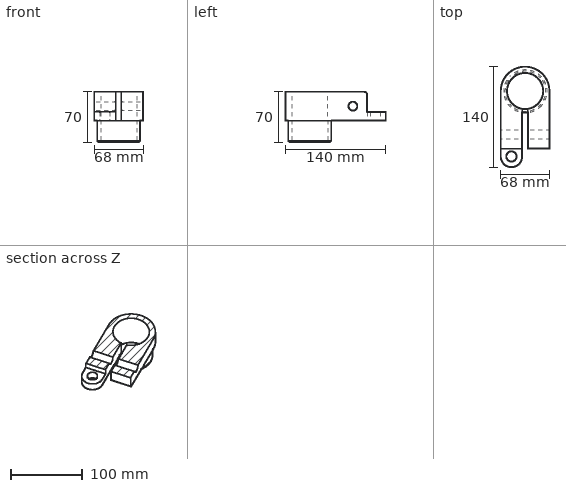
import cadquery as cq

body_width = 68.0
body_height = 40.0
total_length = 140.0
total_height = 70.0
bore_diameter = 50.0
boss_diameter = 60.0
boss_chamfer = 2.0
slot_width = 8.0
jaw_reach = 80.0
jaw_fillet = 4.0
lug_thickness = 12.0
lug_hole_diameter = 14.0
bolt_hole_diameter = 12.0
bolt_reach = 60.0

body_radius = body_width / 2
boss_height = total_height - body_height
lug_width = (body_width - slot_width) / 2
lug_radius = lug_width / 2
lug_x = -(slot_width + lug_width) / 2
lug_y = -(total_length - body_radius - lug_radius)


def jaw(x_start, rounded_edges):
    """Block on one side of the slot, with its chosen front edges rounded."""
    block = cq.Workplane("XY").box(lug_width, jaw_reach, body_height, centered=False)
    block = block.translate((x_start, -jaw_reach, 0))
    return block.faces("<Y").edges(rounded_edges).fillet(jaw_fillet)


def round_end():
    """Half-round back of the clamp, with the slot running in to the bore."""
    disc = cq.Workplane("XY").circle(body_radius).extrude(body_height)
    slot = (
        cq.Workplane("XY")
        .center(0, -jaw_reach / 2)
        .rect(slot_width, jaw_reach)
        .extrude(body_height)
    )
    return disc.cut(slot)


def lug():
    """Round-ended tab continuing the left jaw, flush with its underside."""
    return (
        cq.Workplane("XY")
        .moveTo(lug_x - lug_radius, -jaw_reach / 2)
        .lineTo(lug_x - lug_radius, lug_y)
        .threePointArc((lug_x, lug_y - lug_radius), (lug_x + lug_radius, lug_y))
        .lineTo(lug_x + lug_radius, -jaw_reach / 2)
        .close()
        .extrude(lug_thickness)
    )


def boss():
    """Cylindrical sleeve below the body, chamfered at its lower end."""
    sleeve = cq.Workplane("XY").circle(boss_diameter / 2).extrude(-boss_height)
    return sleeve.faces("<Z").edges().chamfer(boss_chamfer)


left_jaw = jaw(-body_radius, ">Z")
right_jaw = jaw(slot_width / 2, ">Z or <Z")
clamp = round_end().union(left_jaw).union(right_jaw).union(lug()).union(boss())

bore = (
    cq.Workplane("XY", origin=(0, 0, -boss_height))
    .circle(bore_diameter / 2)
    .extrude(total_height)
)
lug_hole = (
    cq.Workplane("XY")
    .center(lug_x, lug_y)
    .circle(lug_hole_diameter / 2)
    .extrude(lug_thickness)
)
bolt_hole = (
    cq.Workplane("YZ", origin=(-body_radius, -bolt_reach, body_height / 2))
    .circle(bolt_hole_diameter / 2)
    .extrude(body_width)
)
result = clamp.cut(bore).cut(lug_hole).cut(bolt_hole)